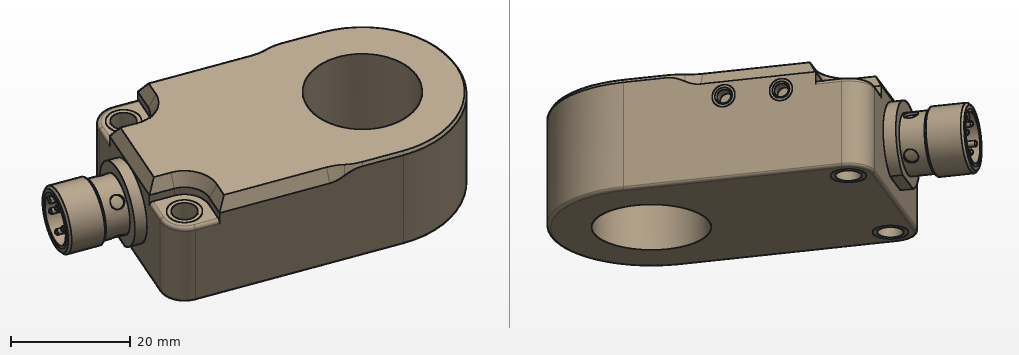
import cadquery as cq
import math

width = 35.0
height = 20.0
ring_radius = width / 2
ring_bore = 20.1
front_y = -42.5
corner_radius = 4.5
bottom_fillet = 0.5

rim_depth = 2.4
rim_taper = math.radians(30)
rim_spread = rim_depth * math.tan(rim_taper)
shoulder_z = height - rim_depth
ring_inset = 0.4
wide_y = -7.4
narrow_y = -13.45

pocket_floor_z = height - 4.0
pocket_radius = corner_radius
pocket_lip_fillet = 0.65
mount_x = ring_radius - corner_radius
mount_y = front_y + corner_radius
sleeve_diameter = 6.0
sleeve_bore = 4.5

bezel_y = (-17.5, -27.5)
bezel_z = height - 5.0
bezel_diameter = 4.0
bezel_depth = 3.0
bezel_bore = 2.4
lens_depth = 2.2
bezel_chamfer = 0.3

connector_z = height / 2
connector_length = 13.5
flange_diameter = 15.0
flange_length = 2.2
flange_flat = 6.75
neck_diameter = 10.8
head_diameter = 12.0
head_length = 6.9
head_chamfer = 0.45
window_diameter = 2.5
window_distance = 3.8
window_count = 4
first_window_angle = 45

insert_diameter = 9.8
socket_diameter = 8.75
socket_depth = 6.0
key_radius = 0.625
key_distance = 3.565
key_angle = 135
pin_count = 4
pin_diameter = 1.0
pin_circle_radius = 2.6
pin_chamfer = 0.3


def disc_along_y(diameter, start, length):
    """Cylinder on the connector axis, from a distance ahead of the front face toward -Y."""
    plane = cq.Plane(origin=(0, front_y - start, connector_z), xDir=(1, 0, 0), normal=(0, -1, 0))
    return cq.Workplane(plane).circle(diameter / 2).extrude(length)


def housing_outline(z):
    """Full outline: half-round ring end and a tail with rounded front corners."""
    return (
        cq.Workplane("XY", origin=(0, 0, z))
        .moveTo(ring_radius, 0)
        .threePointArc((0, ring_radius), (-ring_radius, 0))
        .lineTo(-ring_radius, mount_y)
        .radiusArc((-mount_x, front_y), -corner_radius)
        .lineTo(mount_x, front_y)
        .radiusArc((ring_radius, mount_y), -corner_radius)
        .close()
    )


def rim_outline(z, spread):
    """Outline of the raised top, offset outward from the top-face edge by the spread."""
    wide_x = ring_radius - ring_inset + spread
    narrow_x = ring_radius - rim_spread + spread
    nose_y = front_y + rim_spread - spread
    notch_radius = pocket_radius + rim_spread - spread
    notch_x = mount_x - notch_radius
    notch_y = mount_y + notch_radius
    drop = wide_y - narrow_y
    step = wide_x - narrow_x
    sweep = 2 * math.atan(step / drop)
    mean_radius = drop / (2 * math.sin(sweep))
    outer_radius = mean_radius + spread
    inner_radius = mean_radius - spread
    mid_x = wide_x - outer_radius * (1 - math.cos(sweep))
    mid_outer_y = wide_y - outer_radius * math.sin(sweep)
    inner_end_y = mid_outer_y - inner_radius * math.sin(sweep)
    return (
        cq.Workplane("XY", origin=(0, 0, z))
        .moveTo(wide_x, 0)
        .threePointArc((0, wide_x), (-wide_x, 0))
        .lineTo(-wide_x, wide_y)
        .radiusArc((-mid_x, mid_outer_y), -outer_radius)
        .radiusArc((-narrow_x, inner_end_y), inner_radius)
        .lineTo(-narrow_x, notch_y)
        .lineTo(-mount_x, notch_y)
        .radiusArc((-notch_x, mount_y), notch_radius)
        .lineTo(-notch_x, nose_y)
        .lineTo(notch_x, nose_y)
        .lineTo(notch_x, mount_y)
        .radiusArc((mount_x, notch_y), notch_radius)
        .lineTo(narrow_x, notch_y)
        .lineTo(narrow_x, inner_end_y)
        .radiusArc((mid_x, mid_outer_y), inner_radius)
        .radiusArc((wide_x, wide_y), -outer_radius)
        .close()
    )


def mount_points():
    return cq.Workplane("XY").pushPoints([(-mount_x, mount_y), (mount_x, mount_y)])


def side_cylinder(y, diameter, depth):
    """Cylinder going from the -X side of the housing into it."""
    plane = cq.Plane(origin=(-ring_radius, y, bezel_z), xDir=(0, -1, 0), normal=(1, 0, 0))
    return cq.Workplane(plane).circle(diameter / 2).extrude(depth)


def make_raised_top():
    """Upper part inside the pockets: straight walls up to the shoulder, then the tapered rim."""
    start_z = pocket_floor_z - pocket_lip_fillet
    walls = rim_outline(start_z, rim_spread).extrude(shoulder_z - start_z)
    lower = rim_outline(shoulder_z, rim_spread).wires().val()
    upper = rim_outline(height, 0).wires().val()
    rim = cq.Workplane(cq.Solid.makeLoft([lower, upper], True))
    envelope = housing_outline(start_z).extrude(height - start_z)
    return walls.union(rim).intersect(envelope)


def make_housing():
    base = housing_outline(0).extrude(pocket_floor_z)
    base = base.faces("<Z").edges().fillet(bottom_fillet)
    base = base.faces(">Z").edges().fillet(pocket_lip_fillet)
    housing = base.union(make_raised_top())
    housing = housing.cut(cq.Workplane("XY").circle(ring_bore / 2).extrude(height))
    housing = housing.cut(mount_points().circle(sleeve_diameter / 2).extrude(pocket_floor_z))
    for y in bezel_y:
        housing = housing.cut(side_cylinder(y, bezel_diameter, bezel_depth))
    return housing


def make_sleeves():
    rings = mount_points().circle(sleeve_diameter / 2).extrude(pocket_floor_z)
    return rings.cut(mount_points().circle(sleeve_bore / 2).extrude(pocket_floor_z))


def make_bezel(y):
    tube = side_cylinder(y, bezel_diameter, bezel_depth).cut(side_cylinder(y, bezel_bore, bezel_depth))
    bore_rim = tube.faces("<X").edges(cq.selectors.RadiusNthSelector(0))
    return bore_rim.chamfer(bezel_chamfer)


def make_lens(y):
    """Disc that closes the inner end of a bezel."""
    rod = side_cylinder(y, bezel_bore, bezel_depth)
    return rod.cut(side_cylinder(y, bezel_bore, lens_depth))


def make_flange():
    """Round flange with a flat along its lower side."""
    flange = disc_along_y(flange_diameter, 0, flange_length)
    above_flat = cq.Workplane("XY", origin=(0, front_y, connector_z - flange_flat)).rect(
        flange_diameter, 2 * flange_length
    )
    return flange.intersect(above_flat.extrude(flange_diameter))


def make_shell():
    head_start = connector_length - head_length
    neck = disc_along_y(neck_diameter, flange_length, head_start - flange_length)
    head = disc_along_y(head_diameter, head_start, head_length)
    head = head.faces("<Y or >Y").chamfer(head_chamfer)
    shell = make_flange().union(neck).union(head)
    shell = shell.cut(disc_along_y(insert_diameter, 0, connector_length))
    for number in range(window_count):
        angle = first_window_angle + number * 360 / window_count
        window = cq.Workplane("XY").circle(window_diameter / 2).extrude(neck_diameter)
        window = window.rotate((0, 0, 0), (0, 1, 0), angle)
        shell = shell.cut(window.translate((0, front_y - window_distance, connector_z)))
    return shell


def make_contact_insert():
    start = connector_length - socket_depth
    insert = disc_along_y(insert_diameter, 0, connector_length)
    insert = insert.cut(disc_along_y(socket_diameter, start, socket_depth))
    plane = cq.Plane(origin=(0, front_y - start, connector_z), xDir=(1, 0, 0), normal=(0, -1, 0))
    root = (insert_diameter + socket_diameter) / 4
    key = (
        cq.Workplane(plane.rotated((0, 0, key_angle)))
        .moveTo(root, key_radius)
        .lineTo(key_distance, key_radius)
        .threePointArc((key_distance - key_radius, 0), (key_distance, -key_radius))
        .lineTo(root, -key_radius)
        .close()
        .extrude(socket_depth)
    )
    pins = (
        cq.Workplane(plane)
        .polarArray(pin_circle_radius, 0, 360, pin_count)
        .circle(pin_diameter / 2)
        .extrude(socket_depth)
        .faces("<Y")
        .chamfer(pin_chamfer)
    )
    return insert.union(key).union(pins)


housing = make_housing()
sleeves = make_sleeves()
bezels = [make_bezel(y) for y in bezel_y]
lenses = [make_lens(y) for y in bezel_y]
shell = make_shell()
contact_insert = make_contact_insert()

result = cq.Compound.makeCompound(
    [
        housing.val(),
        *sleeves.vals(),
        *[bezel.val() for bezel in bezels],
        *[lens.val() for lens in lenses],
        shell.val(),
        contact_insert.val(),
    ]
)